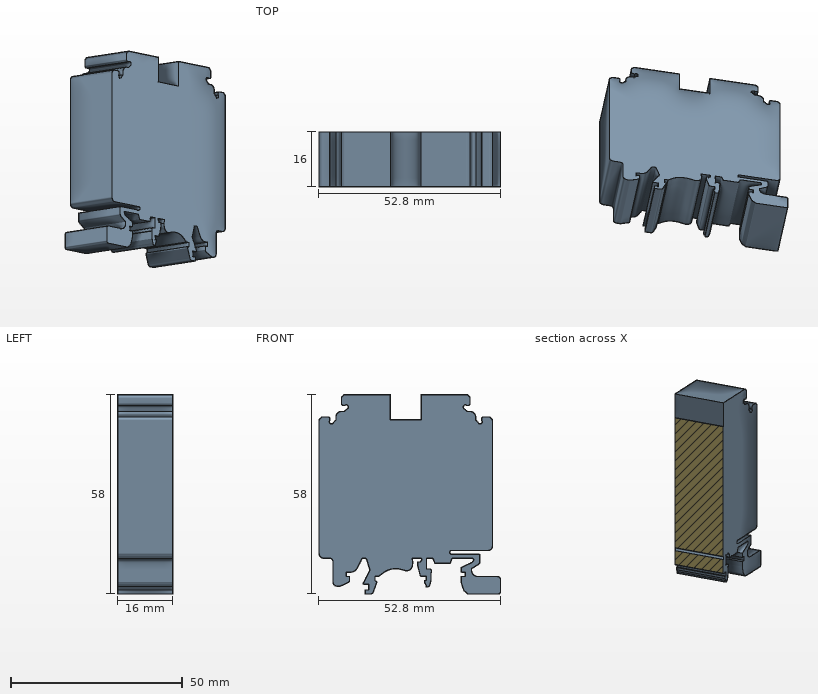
import cadquery as cq
import math


height = 58.0
thickness = 16.0
body_width = 50.45
half_width = body_width / 2
body_round_left = 1.4
body_round_right = 1.3
right_end = 27.55

slot_width = 8.95
slot_floor = 50.7
step = 6.5
step_chamfer = 0.8
chamfer_round = 0.5
lip = 3.2
lip_round = 0.6
groove_round = 0.495
bump_edge = 4.9
bump_round = 1.75

underside = 10.4
rail_seat = 5.1
lip_notch_top = 6.3
arch_level = 7.3
finger_notch = 3.95

arm_top = 11.6
arm_gap = 1.05
slit_round = 0.45
slit_end = 12.8
body_bottom_right = arm_top + arm_gap

insert_depth = 1.15
screw_offset = 11.95
screw_diameter = 7.8
hex_across_flats = 3.35
test_point_diameter = 2.8
entry_center = 25.5
entry_height = 18.0
entry_inner_height = 10.2
entry_inner_width = 10.7
panel_depth = 0.6
panel_taper = 45


def upper_left_corner():
    """Stepped corner from the top face to the left side, symmetric about its diagonal.

    Points are (inset from the side, depth from the top, rounding radius).
    """
    top_half = [
        (step + step_chamfer, 0, chamfer_round),
        (step, step_chamfer, chamfer_round),
        (step, lip, lip_round),
        (7.55, lip, 0),
        (7.95, 2.7, groove_round),
        (8.7, 3.7, groove_round),
        (7.35, bump_edge, 0),
    ]
    side_half = [(depth, inset, radius) for inset, depth, radius in reversed(top_half)]
    corner = top_half + [(bump_edge, bump_edge, bump_round)] + side_half
    return [(inset - half_width, height - depth, radius) for inset, depth, radius in corner]


def upper_right_corner():
    return [(-x, z, radius) for x, z, radius in reversed(upper_left_corner())]


def top_slot():
    half_slot = slot_width / 2
    return [
        (half_slot, height, 0),
        (half_slot, slot_floor, 0),
        (-half_slot, slot_floor, 0),
        (-half_slot, height, 0),
    ]


def fixed_foot():
    """Left foot that hooks over the edge of the rail."""
    outer = -21.15
    sole = 2.25
    notch = -17.3
    toe = -16.3
    return [
        (-half_width, underside, body_round_left),
        (outer, underside, 1.0),
        (outer, sole, 1.2),
        (-19.0, sole, 0.6),
        (toe, 3.55, 0.7),
        (toe, rail_seat, 0),
        (notch, rail_seat, 0),
        (notch, lip_notch_top, 0),
        (-14.7, lip_notch_top, 2.3),
        (-12.65, underside, 0.25),
    ]


def left_finger():
    """Thin hooked finger beside the fixed foot."""
    barb = 2.85
    barb_root = -10.8
    hook_top = 1.2
    hook_tip = -11.85
    outer_root = -8.95
    return [
        (-11.5, underside, 0.45),
        (-10.45, 6.95, 0.35),
        (-12.5, barb, 0.25),
        (barb_root, barb, 0),
        (barb_root, hook_top, 0),
        (hook_tip, hook_top, 0),
        (hook_tip, 0, 0),
        (-9.6, 0, 0.85),
        (-8.35, 3.55, 0.35),
        (outer_root, finger_notch, 0),
        (outer_root, rail_seat, 0),
    ]


def rail_arch():
    """Wavy underside between the two fingers."""
    return [
        (-7.9, rail_seat, 0),
        (-5.0, arch_level, 5.2),
        (-2.05, arch_level, 2.9),
        (1.75, 6.25, 1.75),
        (2.1, 9.3, 0),
        (1.85, underside, 0.2),
    ]


def right_finger():
    """Thin hooked finger right of the arch."""
    heel = 9.35
    back = 3.5
    notch = 5.9
    barb = 5.5
    tip = 2.05
    front = 7.35
    shoulder = 7.55
    root = 6.1
    return [
        (5.1, underside, 0.35),
        (4.2, heel, 0),
        (back, heel, 0),
        (back, 8.2, 0),
        (4.25, rail_seat, 0.6),
        (notch, rail_seat, 0),
        (notch, finger_notch, 0),
        (barb, finger_notch, 0),
        (barb, 3.25, 0),
        (notch, 2.55, 0),
        (notch, tip, 0),
        (6.85, tip, 0.85),
        (front, finger_notch, 0),
        (front, 6.25, 0),
        (shoulder, lip_notch_top, 0),
        (shoulder, arch_level, 0.6),
        (root, arch_level, 0),
        (root, underside, 0),
    ]


def stop_block():
    """Shallow block under the body between the right finger and the release arm."""
    bottom = 8.95
    return [
        (7.9, underside, 0.25),
        (8.4, bottom, 0.2),
        (12.95, bottom, 0.2),
        (13.45, underside, 0.35),
    ]


def release_foot():
    """Folded spring arm that ends in the large right foot."""
    toe = 16.05
    notch = 17.3
    arm_side = 21.6
    return [
        (20.1, underside, 0.45),
        (19.4, 9.3, 0.6),
        (toe, 7.7, 0),
        (toe, lip_notch_top, 0.3),
        (notch, lip_notch_top, 0),
        (notch, rail_seat, 0),
        (toe, rail_seat, 0),
        (toe, 3.5, 0.3),
        (16.8, 1.1, 0.85),
        (18.05, 0, 0.3),
        (right_end, 0, 0.7),
        (right_end, rail_seat, 0.8),
        (19.2, rail_seat, 1.85),
        (19.15, 7.35, 0.1),
        (arm_side, 8.9, 0.85),
        (arm_side, arm_top, 0.35),
    ]


def arm_slit():
    """Round-ended slit between the spring arm and the body."""
    return [
        (slit_end, arm_top, slit_round),
        (slit_end, body_bottom_right, slit_round),
        (half_width, body_bottom_right, body_round_right),
    ]


def toward(start, end, distance):
    """Point on the line from start to end at a distance from start."""
    share = distance / math.dist(start, end)
    return tuple(s + share * (e - s) for s, e in zip(start, end))


def rounded_outline(corners):
    """Closed outline through (x, z, radius) corners, rounded where the radius is not 0."""
    path = None
    for i, (x, z, radius) in enumerate(corners):
        corner = (x, z)
        before = corners[i - 1][:2]
        after = corners[(i + 1) % len(corners)][:2]
        in_angle = math.atan2(before[1] - z, before[0] - x)
        out_angle = math.atan2(after[1] - z, after[0] - x)
        half_angle = abs(math.remainder(out_angle - in_angle, math.tau)) / 2
        trim = radius / math.tan(half_angle)
        start = toward(corner, before, trim)
        path = path.lineTo(*start) if path else cq.Workplane("XZ").moveTo(*start)
        if radius:
            end = toward(corner, after, trim)
            chord_middle = tuple((s + e) / 2 for s, e in zip(start, end))
            middle = toward(corner, chord_middle, radius / math.sin(half_angle) - radius)
            path = path.threePointArc(middle, end)
    return path.close()


def flush_cylinder(x, top, diameter):
    return cq.Workplane("XY", (x, 0, top)).circle(diameter / 2).extrude(-insert_depth)


def flush_hexagon(x, top):
    across_corners = hex_across_flats / math.cos(math.pi / 6)
    return cq.Workplane("XY", (x, 0, top)).polygon(6, across_corners).extrude(-insert_depth)


def centered_rectangle(width, rectangle_height):
    """Corners of a wire-entry rectangle as (y, z) points."""
    signs = ((-1, -1), (1, -1), (1, 1), (-1, 1))
    return [(y * width / 2, entry_center + z * rectangle_height / 2) for y, z in signs]


def entry_panels(side):
    """Four flush panels that frame a wire entry; side is -1 for left and 1 for right."""
    outer = centered_rectangle(thickness, entry_height)
    inner = centered_rectangle(entry_inner_width, entry_inner_height)
    plane = cq.Workplane("YZ", (side * half_width, 0, 0))
    panels = []
    for i in range(4):
        panel = plane.polyline([outer[i - 1], outer[i], inner[i], inner[i - 1]]).close()
        panels.append(panel.extrude(-side * panel_depth, taper=panel_taper))
    return panels


outline = (
    upper_left_corner() + fixed_foot() + left_finger() + rail_arch() + right_finger()
    + stop_block() + release_foot() + arm_slit() + upper_right_corner() + top_slot()
)
result = rounded_outline(outline).extrude(thickness / 2, both=True)

inserts = [flush_cylinder(0, slot_floor, test_point_diameter)]
for side in (-1, 1):
    inserts.append(flush_cylinder(side * screw_offset, height, screw_diameter))
    inserts.append(flush_hexagon(side * screw_offset, height))
    inserts.extend(entry_panels(side))
for insert in inserts:
    result = result.union(insert, clean=False)